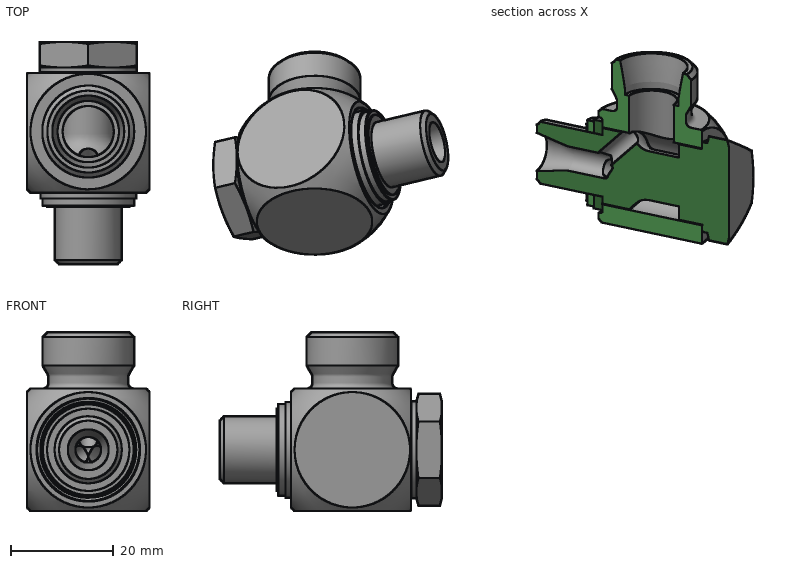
import cadquery as cq
import math


body_width = 24.0
half_width = body_width / 2
body_front_y = -half_width
body_back_y = 11.5
body_sphere_radius = 16.5
journal_bore_diameter = 16.1
ring_recess_diameter = 20.0
ring_recess_chamfer = 0.15
ring_recess_floor_radius = 0.45
ring_recess_depth = 0.83

port_top_z = 23.0
port_diameter = 18.0
port_chamfer = 1.0
port_thread_bottom_z = 16.55
port_neck_diameter = 15.7
port_neck_blend_radius = 1.0
port_relief_angle = 30.0
port_bore_diameter = 10.0
tube_socket_diameter = 12.0
tube_socket_depth = 7.0
tube_cone_mouth_diameter = 14.1
tube_cone_depth = 5.55

total_length = 43.5
hex_sides = 6
hex_half_sector = 180 / hex_sides
hex_across_flats = 19.0
hex_back_y = 17.55
hex_height = 5.0
collar_chamfer = 0.15
hex_chamfer_angle = 15.0
journal_diameter = 16.0
waist_diameter = 10.4
waist_back_y = 6.1
waist_front_y = -0.6
waist_blend_radius = 3.83
waist_cone_angle = 45.0
stud_diameter = 13.15
stud_chamfer = 0.85

bolt_passage_diameter = 5.0
bolt_cone_mouth_diameter = 8.0
bolt_cone_half_angle = 12.0
drill_point_y = -8.8
drill_point_half_angle = 59.0
cross_hole_diameter = 3.5
cross_hole_count = 3
cross_hole_top_y = -3.35

support_ring_diameter = 18.8
edge_ring_diameter = 18.0
edge_ring_chamfer = 0.15
seal_ring_diameter = 16.1
support_ring_front_y = -13.1
edge_ring_front_y = -14.57
seal_ring_front_y = -14.8

hex_front_y = hex_back_y - hex_height
stud_end_y = hex_back_y - total_length
ring_seat_y = body_front_y + ring_recess_depth


def tan_deg(angle):
    return math.tan(math.radians(angle))


def sin_deg(angle):
    return math.sin(math.radians(angle))


def cos_deg(angle):
    return math.cos(math.radians(angle))


def turned_about_y(profile):
    """Revolve an XY profile, x being the radius, about the Y axis."""
    return profile.close().revolve(360, (0, 0, 0), (0, 1, 0))


def cylinder_along_y(diameter, y_start, y_end):
    return (
        cq.Workplane("XZ", origin=(0, y_end, 0))
        .circle(diameter / 2)
        .extrude(y_end - y_start)
    )


def make_port():
    """Threaded stub with a conical relief under the thread and a filleted foot."""
    thread_radius = port_diameter / 2
    neck_radius = port_neck_diameter / 2
    blend_rise = port_neck_blend_radius * sin_deg(port_relief_angle)
    blend_radius_end = neck_radius + port_neck_blend_radius * (1 - cos_deg(port_relief_angle))
    cone_bottom_z = port_thread_bottom_z - (thread_radius - blend_radius_end) / tan_deg(port_relief_angle)
    foot_top_z = half_width + port_neck_blend_radius
    return (
        cq.Workplane("XZ")
        .moveTo(0, port_top_z)
        .lineTo(thread_radius - port_chamfer, port_top_z)
        .lineTo(thread_radius, port_top_z - port_chamfer)
        .lineTo(thread_radius, port_thread_bottom_z)
        .lineTo(blend_radius_end, cone_bottom_z)
        .tangentArcPoint((neck_radius, cone_bottom_z - blend_rise), relative=False)
        .lineTo(neck_radius, foot_top_z)
        .tangentArcPoint((neck_radius + port_neck_blend_radius, half_width), relative=False)
        .lineTo(0, half_width)
        .close()
        .revolve(360, (0, 0, 0), (0, 1, 0))
    )


def make_port_bore():
    """Tube cone and socket, then a bore down to the bolt chamber."""
    cone_radius = tube_cone_mouth_diameter / 2
    socket_radius = tube_socket_diameter / 2
    bore_radius = port_bore_diameter / 2
    socket_floor_z = port_top_z - tube_socket_depth
    return (
        cq.Workplane("XZ")
        .lineTo(bore_radius, 0)
        .lineTo(bore_radius, socket_floor_z)
        .lineTo(socket_radius, socket_floor_z)
        .lineTo(socket_radius, port_top_z - tube_cone_depth)
        .lineTo(cone_radius, port_top_z)
        .lineTo(0, port_top_z)
        .close()
        .revolve(360, (0, 0, 0), (0, 1, 0))
    )


def make_ring_recess():
    """Recess in the front face that seats the support ring: chamfered mouth, filleted floor."""
    wall_radius = ring_recess_diameter / 2
    floor_radius = wall_radius - ring_recess_floor_radius
    return turned_about_y(
        cq.Workplane("XY")
        .moveTo(0, body_front_y)
        .lineTo(wall_radius + ring_recess_chamfer, body_front_y)
        .lineTo(wall_radius, body_front_y + ring_recess_chamfer)
        .lineTo(wall_radius, ring_seat_y - ring_recess_floor_radius)
        .tangentArcPoint((floor_radius, ring_seat_y), relative=False)
        .lineTo(0, ring_seat_y)
    )


def make_housing():
    body_length = body_back_y - body_front_y
    block = cq.Workplane("XY").box(body_width, body_length, body_width)
    block = block.translate((0, (body_back_y + body_front_y) / 2, 0))
    rounded_block = block.intersect(cq.Workplane("XY").sphere(body_sphere_radius))
    return (
        rounded_block.union(make_port())
        .cut(make_port_bore())
        .cut(cylinder_along_y(journal_bore_diameter, body_front_y, body_back_y))
        .cut(make_ring_recess())
    )


def make_hex_head():
    """Hexagon with flats facing +X and -X, its corners chamfered at both ends."""
    flat_radius = hex_across_flats / 2
    corner_radius = flat_radius / cos_deg(hex_half_sector)
    corner_drop = (corner_radius - flat_radius) * tan_deg(hex_chamfer_angle)
    prism = (
        cq.Workplane("XZ", origin=(0, hex_back_y, 0))
        .polygon(hex_sides, 2 * corner_radius)
        .extrude(hex_height)
        .rotate((0, 0, 0), (0, 1, 0), hex_half_sector)
    )
    envelope = turned_about_y(
        cq.Workplane("XY")
        .moveTo(0, hex_front_y)
        .lineTo(flat_radius, hex_front_y)
        .lineTo(corner_radius, hex_front_y + corner_drop)
        .lineTo(corner_radius, hex_back_y - corner_drop)
        .lineTo(flat_radius, hex_back_y)
        .lineTo(0, hex_back_y)
    )
    return prism.intersect(envelope)


def make_shank():
    """Collar, journals, waist and stud of the bolt as one turned shape."""
    collar_radius = hex_across_flats / 2
    journal_radius = journal_diameter / 2
    waist_radius = waist_diameter / 2
    stud_radius = stud_diameter / 2
    blend_end_radius = waist_radius + waist_blend_radius * (1 - cos_deg(waist_cone_angle))
    blend_end_y = waist_front_y - waist_blend_radius * sin_deg(waist_cone_angle)
    cone_end_y = blend_end_y - (journal_radius - blend_end_radius) / tan_deg(waist_cone_angle)
    return turned_about_y(
        cq.Workplane("XY")
        .moveTo(0, hex_front_y)
        .lineTo(collar_radius, hex_front_y)
        .lineTo(collar_radius, body_back_y + collar_chamfer)
        .lineTo(collar_radius - collar_chamfer, body_back_y)
        .lineTo(journal_radius, body_back_y)
        .lineTo(journal_radius, waist_back_y)
        .lineTo(waist_radius, waist_back_y)
        .lineTo(waist_radius, waist_front_y)
        .tangentArcPoint((blend_end_radius, blend_end_y), relative=False)
        .lineTo(journal_radius, cone_end_y)
        .lineTo(journal_radius, ring_seat_y)
        .lineTo(stud_radius, ring_seat_y)
        .lineTo(stud_radius, stud_end_y + stud_chamfer)
        .lineTo(stud_radius - stud_chamfer, stud_end_y)
        .lineTo(0, stud_end_y)
    )


def make_bolt_bore():
    """Blind bore from the stud end: conical mouth, straight bore, drill point."""
    mouth_radius = bolt_cone_mouth_diameter / 2
    bore_radius = bolt_passage_diameter / 2
    cone_depth = (mouth_radius - bore_radius) / tan_deg(bolt_cone_half_angle)
    drill_point_length = bore_radius / tan_deg(drill_point_half_angle)
    return turned_about_y(
        cq.Workplane("XY")
        .moveTo(0, stud_end_y)
        .lineTo(mouth_radius, stud_end_y)
        .lineTo(bore_radius, stud_end_y + cone_depth)
        .lineTo(bore_radius, drill_point_y - drill_point_length)
        .lineTo(0, drill_point_y)
    )


def make_cross_hole(turn_angle):
    """Slanted hole, square to the waist cone, starting on the bolt axis."""
    waist_radius = waist_diameter / 2
    cone_start_radius = waist_radius + waist_blend_radius * (1 - cos_deg(waist_cone_angle))
    hole_radius = cross_hole_diameter / 2
    rim_half_height = hole_radius * cos_deg(waist_cone_angle)
    rim_half_width = hole_radius * sin_deg(waist_cone_angle)
    rim_center_y = cross_hole_top_y - rim_half_height
    rim_center_z = cone_start_radius + rim_half_width
    axis_start_y = rim_center_y - rim_center_z * tan_deg(waist_cone_angle)
    direction = cq.Vector(0, sin_deg(waist_cone_angle), cos_deg(waist_cone_angle))
    length = 2 * rim_center_z
    hole = cq.Solid.makeCylinder(hole_radius, length, cq.Vector(0, axis_start_y, 0), direction)
    return cq.Workplane("XY").add(hole).rotate((0, 0, 0), (0, 1, 0), turn_angle)


def make_bolt():
    bolt = make_hex_head().union(make_shank()).cut(make_bolt_bore())
    for index in range(cross_hole_count):
        bolt = bolt.cut(make_cross_hole(index * 360 / cross_hole_count))
    return bolt


def make_ring(outer_diameter, y_front, y_back):
    """Plain ring that fits the stud."""
    ring = cylinder_along_y(outer_diameter, y_front, y_back)
    return ring.cut(cylinder_along_y(stud_diameter, y_front, y_back))


def make_support_ring():
    return make_ring(support_ring_diameter, support_ring_front_y, ring_seat_y)


def make_edge_ring():
    ring = make_ring(edge_ring_diameter, edge_ring_front_y, support_ring_front_y)
    return ring.faces("<Y").edges(cq.selectors.RadiusNthSelector(-1)).chamfer(edge_ring_chamfer)


def make_seal_ring():
    return make_ring(seal_ring_diameter, seal_ring_front_y, edge_ring_front_y)


housing = make_housing()
bolt = make_bolt()
support_ring = make_support_ring()
edge_ring = make_edge_ring()
seal_ring = make_seal_ring()

result = cq.Compound.makeCompound([
    housing.val(),
    bolt.val(),
    support_ring.val(),
    edge_ring.val(),
    seal_ring.val(),
])